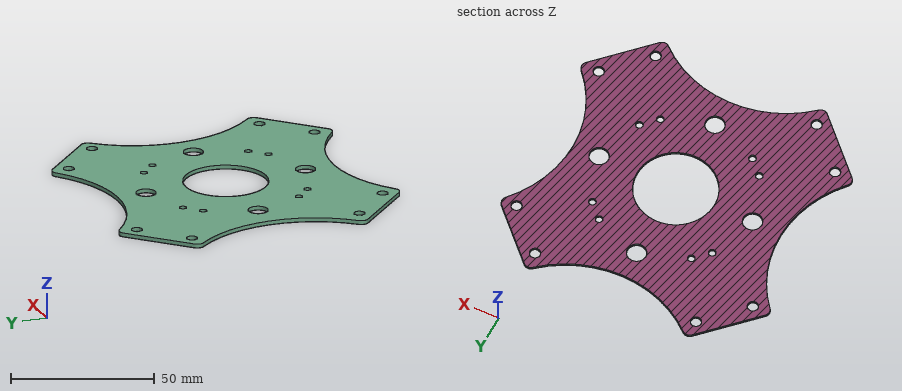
import cadquery as cq

thickness = 1.5
half_diagonal = 84.8
tip_radius = 2.5

scallop_radius = 44.0
scallop_distance = 84.7
side_shift_x = -0.6
side_shift_y = 0.8

bore_diameter = 30.0
large_hole_diameter = 7.0
large_hole_distance = bore_diameter
arm_hole_diameter = 3.8
arm_hole_near = 31.5
arm_hole_far = 46.3
small_hole_diameter = 2.5
small_hole_near = 18.0
small_hole_far = 23.5


def mirrored_pairs(near, far):
    """Two points in each quadrant, mirrored about the quadrant's diagonal."""
    points = []
    for sign_x in (-1, 1):
        for sign_y in (-1, 1):
            points.append((sign_x * near, sign_y * far))
            points.append((sign_x * far, sign_y * near))
    return points


def axis_points(distance):
    """Four points on the X and Y axes at the same distance from the centre."""
    return [(distance, 0), (0, distance), (-distance, 0), (0, -distance)]


def through_cylinders(points, diameter):
    """Cutting cylinders as tall as the plate."""
    return cq.Workplane("XY").pushPoints(points).circle(diameter / 2).extrude(thickness)


def make_plate():
    """Square blank standing on its corner, scalloped into four arms with rounded tips."""
    blank = cq.Workplane("XY").polyline(axis_points(half_diagonal)).close().extrude(thickness)
    scallop_centers = [
        (0, scallop_distance),
        (0, -scallop_distance),
        (side_shift_x - scallop_distance, side_shift_y),
        (side_shift_x + scallop_distance, side_shift_y),
    ]
    plate = blank.cut(through_cylinders(scallop_centers, 2 * scallop_radius))
    return plate.edges("|Z").fillet(tip_radius)


result = make_plate()
result = result.cut(through_cylinders([(0, 0)], bore_diameter))
result = result.cut(through_cylinders(axis_points(large_hole_distance), large_hole_diameter))
result = result.cut(through_cylinders(mirrored_pairs(arm_hole_near, arm_hole_far), arm_hole_diameter))
result = result.cut(through_cylinders(mirrored_pairs(small_hole_near, small_hole_far), small_hole_diameter))